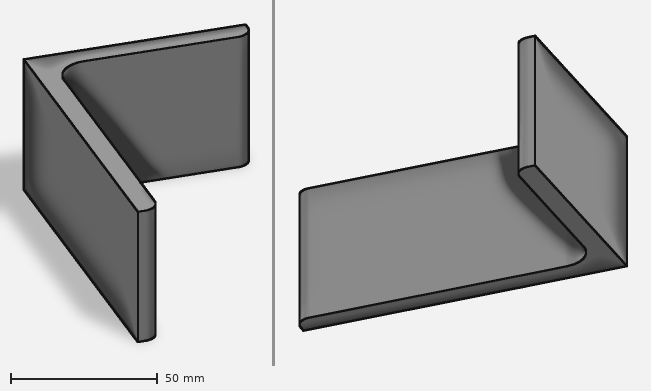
import cadquery as cq

long_leg = 120.0
short_leg = 80.0
length = 50.0
thickness = 8.0
root_radius = 11.0
toe_radius = root_radius / 2

profile = [
    (0, 0),
    (long_leg, 0),
    (long_leg, thickness),
    (thickness, thickness),
    (thickness, short_leg),
    (0, short_leg),
]
angle = cq.Workplane("XY").polyline(profile).close().extrude(length)


def round_edge(body, x, y, radius):
    """Fillet the vertical edge that passes through (x, y)."""
    edge_point = (x, y, length / 2)
    return body.edges(cq.selectors.NearestToPointSelector(edge_point)).fillet(radius)


angle = round_edge(angle, thickness, thickness, root_radius)

for toe_x, toe_y in [(long_leg, thickness), (thickness, short_leg)]:
    angle = round_edge(angle, toe_x, toe_y, toe_radius)

result = angle